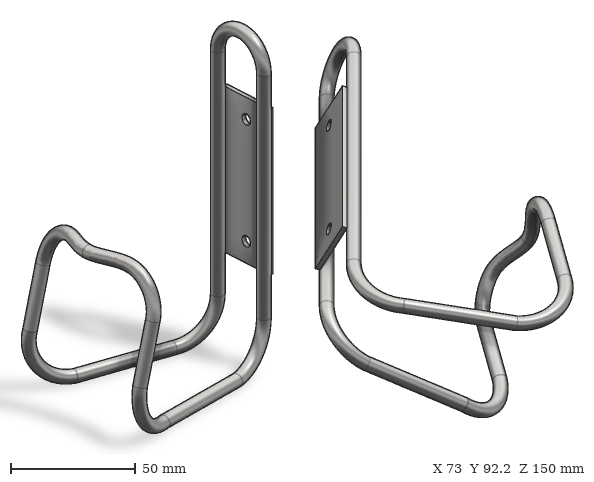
import cadquery as cq
import math

wire_diameter = 6.0
wire_radius = wire_diameter / 2
bend_radius = 20.0
total_height = 150.0

plate_width = 28.0
plate_height = 75.0
plate_thickness = 2.1
plate_center_z = 78.5
hole_diameter = 5.0
hole_spacing = 55.0

weld_overlap = 0.1
upright_x = 14.0
upright_y = -(plate_thickness - weld_overlap + wire_radius)
top_arch_z = total_height - wire_radius - upright_x

floor_z = wire_radius
bend_center_z = floor_z + bend_radius
back_splay = math.radians(15)
front_splay = math.radians(19)
front_lean = math.radians(14)
front_bend_x = 27.0
front_bend_y = -70.3

hoop_top_z = 75.3
hoop_corner_z = hoop_top_z - bend_radius
hoop_center_y = -87.1
hoop_corner_stations = [(45, -80.2), (68, -81.0), (90, -83.4)]


def in_splay_plane(x, y, splay, outward, z):
    """Point a given distance outward from (x, y) in a splayed vertical plane."""
    return cq.Vector(x + outward * math.sin(splay), y - outward * math.cos(splay), z)


def back_bend_point(angle):
    outward = bend_radius * (1 - math.cos(angle))
    z = bend_center_z - bend_radius * math.sin(angle)
    return in_splay_plane(upright_x, upright_y, back_splay, outward, z)


def front_bend_point(angle):
    outward = bend_radius * math.sin(angle)
    z = bend_center_z - bend_radius * math.cos(angle)
    return in_splay_plane(front_bend_x, front_bend_y, front_splay, outward, z)


def mirrored(point):
    return cq.Vector(-point.x, point.y, point.z)


quarter_turn = math.pi / 2
front_turn = quarter_turn + front_lean
upright_top = cq.Vector(upright_x, upright_y, top_arch_z)
back_bend = [back_bend_point(quarter_turn * step / 2) for step in range(3)]
front_bend = [front_bend_point(front_turn * step / 2) for step in range(3)]
hoop_side_x = front_bend[-1].x
hoop_corner_x = hoop_side_x - bend_radius
hoop_rise = hoop_corner_z - front_bend[-1].z
hoop_start = front_bend[-1] + cq.Vector(0, hoop_rise * math.tan(front_lean), hoop_rise)


def half_hoop_edge(place):
    """Smooth curve from one front upright to the middle of the crossbar."""
    points = [hoop_start]
    for degrees, y in hoop_corner_stations:
        angle = math.radians(degrees)
        x = hoop_corner_x + bend_radius * math.cos(angle)
        z = hoop_corner_z + bend_radius * math.sin(angle)
        points.append(cq.Vector(x, y, z))
    points.append(cq.Vector(0, hoop_center_y, hoop_top_z))
    rising = cq.Vector(0, math.sin(front_lean), math.cos(front_lean))
    inward = cq.Vector(-1, 0, 0)
    return cq.Edge.makeSpline(
        [place(point) for point in points],
        tangents=[place(rising), place(inward)],
        scale=False,
    )


def unchanged(point):
    return point


def back_edges():
    """Both uprights with their lower bends, joined by the top arch."""
    left_bend = [mirrored(point) for point in back_bend]
    left_top = mirrored(upright_top)
    arch_peak = cq.Vector(0, upright_y, total_height - wire_radius)
    return [
        cq.Edge.makeThreePointArc(*reversed(left_bend)),
        cq.Edge.makeLine(left_bend[0], left_top),
        cq.Edge.makeThreePointArc(left_top, arch_peak, upright_top),
        cq.Edge.makeLine(upright_top, back_bend[0]),
        cq.Edge.makeThreePointArc(*back_bend),
    ]


def side_runs(place):
    """Runs of one side; place maps +X side points to that side."""
    front = [place(point) for point in front_bend]
    return [
        [cq.Edge.makeLine(place(back_bend[-1]), front[0])],
        [cq.Edge.makeThreePointArc(*front)],
        [cq.Edge.makeLine(front[-1], place(hoop_start)), half_hoop_edge(place)],
    ]


def rod(edges):
    """Round wire swept along a smooth chain of edges."""
    section = cq.Workplane(cq.Plane(edges[0].startPoint(), normal=edges[0].tangentAt(0)))
    path = cq.Workplane(cq.Wire.assembleEdges(edges))
    return section.circle(wire_radius).sweep(path)


def joint(point):
    """Ball that fills the slight kink where two wire runs meet."""
    return cq.Workplane("XY").sphere(wire_radius).translate(point)


def mounting_plate():
    plate = cq.Workplane("XY").box(plate_width, plate_thickness, plate_height)
    holes = plate.faces("<Y").workplane().rarray(1.5, hole_spacing, 1, 2)
    return holes.hole(hole_diameter).translate((0, -plate_thickness / 2, plate_center_z))


result = mounting_plate()
for run in [back_edges(), *side_runs(unchanged), *side_runs(mirrored)]:
    result = result.union(rod(run))
for kink in [back_bend[-1], front_bend[0], front_bend[-1]]:
    result = result.union(joint(kink)).union(joint(mirrored(kink)))